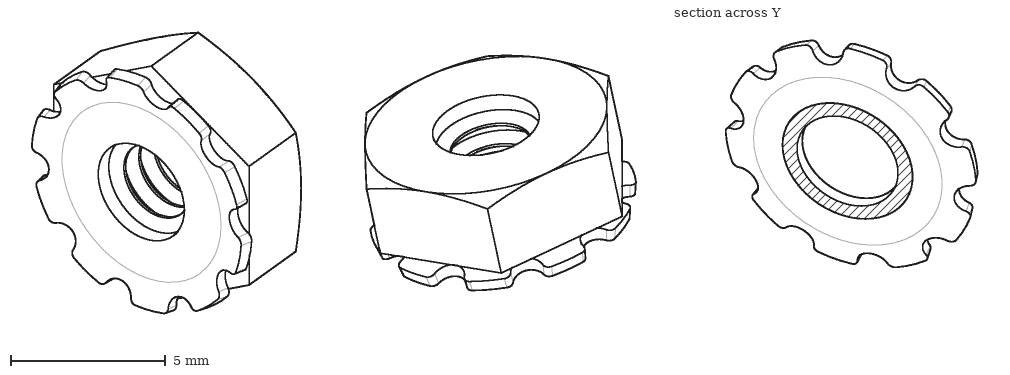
import cadquery as cq
import math


nut_sides = 6
across_flats = 7.94
nut_thickness = 2.78
total_height = 3.57
nut_bearing_y = total_height - nut_thickness
chamfer_angle = math.radians(25)
corner_radius = across_flats / math.sqrt(3)
chamfer_height = (corner_radius - across_flats / 2) * math.tan(chamfer_angle)

neck_diameter = 4.54

rim_radius = 4.365
washer_thickness = 0.435
dish_angle = math.radians(14)
flat_radius = 3.23
rim_front_radius = rim_radius - washer_thickness * math.sin(dish_angle)
rim_back_y = washer_thickness * math.cos(dish_angle)
washer_front_y = (rim_front_radius - flat_radius) * math.tan(dish_angle)
washer_back_y = washer_front_y + washer_thickness
flat_back_radius = flat_radius + washer_thickness * math.tan(dish_angle / 2)

notch_count = 10
first_notch_angle = 7.15
notch_radius = 0.55
notch_floor_radius = 3.70
notch_center_radius = notch_floor_radius + notch_radius
tooth_corner_radius = 0.22
depth_tolerance = 0.05

inch = 25.4
crests_per_inch = 32
half_flank_angle = math.radians(30)
minor_radius = 2.65 / 2
major_radius = 3.5 / 2
pitch = inch / crests_per_inch
crest_width = pitch / 8
flank_length = (major_radius - minor_radius) * math.tan(half_flank_angle)
thread_inset = 0.03
first_flank_y = nut_bearing_y + thread_inset
thread_count = 3


def revolve_about_y(points):
    """Turn a closed (radius, y) outline about the Y axis."""
    return cq.Workplane("XY").polyline(points).close().revolve(360, (0, 0, 0), (0, 1, 0))


def cylinder_along_y(radius, y_start, y_end):
    profile = cq.Workplane("XZ", origin=(0, y_start, 0)).circle(radius)
    return profile.extrude(y_start - y_end)


def make_nut_body():
    hexagon = (
        cq.Workplane("XZ", origin=(0, nut_bearing_y, 0))
        .transformed(rotate=(0, 0, 90))
        .polygon(nut_sides, 2 * corner_radius)
        .extrude(-nut_thickness)
    )
    chamfer_envelope = revolve_about_y([
        (0, nut_bearing_y),
        (corner_radius, nut_bearing_y),
        (corner_radius, total_height - chamfer_height),
        (across_flats / 2, total_height),
        (0, total_height),
    ])
    return hexagon.intersect(chamfer_envelope)


def make_washer():
    washer = revolve_about_y([
        (0, washer_front_y),
        (flat_radius, washer_front_y),
        (rim_front_radius, 0),
        (rim_radius, rim_back_y),
        (flat_back_radius, washer_back_y),
        (0, washer_back_y),
    ])
    notches = (
        cq.Workplane("XZ")
        .polarArray(notch_center_radius, first_notch_angle, 360, notch_count)
        .circle(notch_radius)
        .extrude(-washer_back_y)
    )
    washer = washer.cut(notches)
    corners = []
    for edge in washer.edges().vals():
        middle = edge.Center()
        is_outer = math.hypot(middle.x, middle.z) > notch_center_radius
        edge_depth = edge.BoundingBox().ylen
        spans_rim = math.isclose(edge_depth, rim_back_y, rel_tol=depth_tolerance)
        if is_outer and spans_rim:
            corners.append(edge)
    return washer.newObject(corners).fillet(tooth_corner_radius)


def make_threaded_bore():
    """Solid to remove: a major-diameter bore pinched by ring-shaped thread crests."""
    outline = [(0, 0), (major_radius, 0)]
    for index in range(thread_count):
        flank_y = first_flank_y + index * pitch
        crest_y = flank_y + flank_length
        outline += [
            (major_radius, flank_y),
            (minor_radius, crest_y),
            (minor_radius, crest_y + crest_width),
            (major_radius, crest_y + crest_width + flank_length),
        ]
    outline += [(major_radius, total_height), (0, total_height)]
    return revolve_about_y(outline)


neck = cylinder_along_y(neck_diameter / 2, washer_front_y, nut_bearing_y)
result = make_nut_body().union(neck).union(make_washer()).cut(make_threaded_bore())